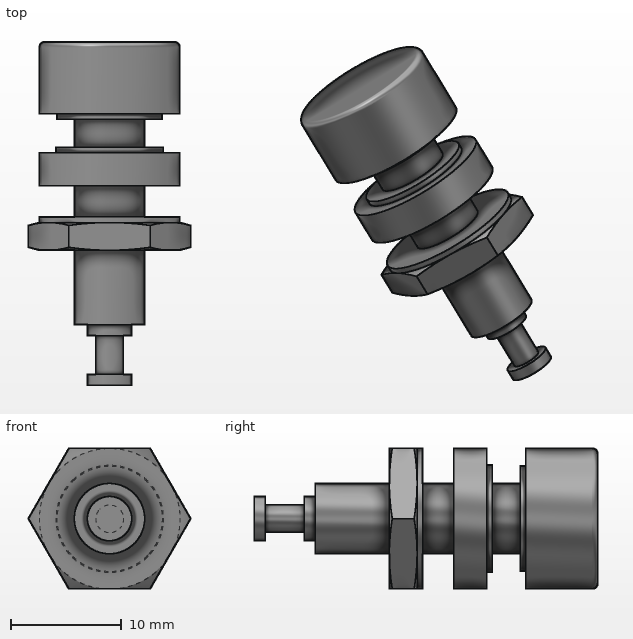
import cadquery as cq
import math

overall_length = 30.99
cap_face_y = overall_length / 2

head_diameter = 12.7
cap_collar_diameter = 9.5
flange_collar_diameter = 9.7
body_diameter = 6.35
terminal_diameter = 4.0
terminal_neck_diameter = 2.5

cap_length = 6.5
cap_edge_radius = 0.5
collar_length = 0.5
cap_collar_end = cap_length + collar_length

cap_gap = 2.5
flange_collar_end = cap_collar_end + cap_gap + collar_length
flange_length = 3.0
flange_end = flange_collar_end + flange_length

washer_gap = 2.8
washer_length = 0.5
washer_end = flange_end + washer_gap + washer_length
nut_length = 2.5
nut_end = washer_end + nut_length
nut_chamfer_angle = 15.0

body_end = 25.5
terminal_disc_length = 1.0


def cylinder(diameter, length, end):
    """Cylinder on the Y axis whose front face lies `end` from the cap face."""
    front_y = cap_face_y - end
    plane = cq.Workplane("XZ", origin=(0, front_y, 0))
    return plane.circle(diameter / 2).extrude(-length)


def make_cap():
    cap = cylinder(head_diameter, cap_length, cap_length)
    return cap.edges(">Y").fillet(cap_edge_radius)


def make_nut():
    """Hexagon with corners on the X axis, both faces chamfered conically at the corners."""
    across_corners = head_diameter / math.cos(math.radians(30))
    front_y = cap_face_y - nut_end
    hexagon = cq.Workplane("XZ", origin=(0, front_y, 0)).polygon(6, across_corners).extrude(-nut_length)

    face_radius = head_diameter / 2
    corner_radius = across_corners / 2
    chamfer_depth = (corner_radius - face_radius) * math.tan(math.radians(nut_chamfer_angle))
    back_y = front_y + nut_length
    turned_blank = (
        cq.Workplane("XY")
        .moveTo(0, front_y)
        .lineTo(face_radius, front_y)
        .lineTo(corner_radius, front_y + chamfer_depth)
        .lineTo(corner_radius, back_y - chamfer_depth)
        .lineTo(face_radius, back_y)
        .lineTo(0, back_y)
        .close()
        .revolve(360, (0, 0, 0), (0, 1, 0))
    )
    return hexagon.intersect(turned_blank)


def make_terminal():
    """Spool-shaped terminal: two discs joined by a thinner neck."""
    spool_length = overall_length - body_end
    neck = cylinder(terminal_neck_diameter, spool_length, overall_length)
    back_disc = cylinder(terminal_diameter, terminal_disc_length, body_end + terminal_disc_length)
    front_disc = cylinder(terminal_diameter, terminal_disc_length, overall_length)
    return neck.union(back_disc).union(front_disc)


result = (
    cylinder(body_diameter, body_end - cap_length, body_end)
    .union(make_cap())
    .union(cylinder(cap_collar_diameter, collar_length, cap_collar_end))
    .union(cylinder(flange_collar_diameter, collar_length, flange_collar_end))
    .union(cylinder(head_diameter, flange_length, flange_end))
    .union(cylinder(head_diameter, washer_length, washer_end))
    .union(make_nut())
    .union(make_terminal())
)